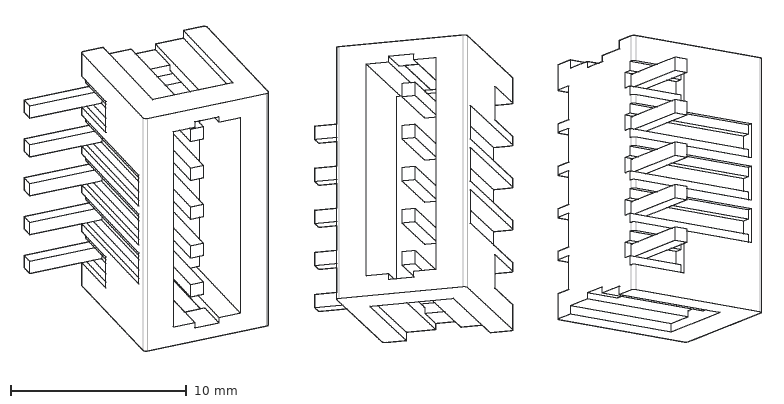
import cadquery as cq

body_x = 8.9
body_y = 7.8
body_z = 15.0
edge_radius = 0.2

contact_count = 5
contact_pitch = 2.5
pin_width = 0.8
pin_back = 0.4
tail_reach = 3.7
contact_tip_x = 7.5

cavity_y = 4.15
cavity_back = 2.05
cavity_end_wall = 1.2
pin_block_front = 3.2
pin_block_gap = 0.24

recess_x = 6.9
recess_y = 5.0
recess_depth = 0.5
key_y = 1.5
key_depth = 0.85

groove_z = 2.0
groove_depth = 0.3
channel_z = 0.9
channel_depth = 0.8
back_groove_depth = 1.2
long_groove = 8.1
short_groove = 3.5

half_y = body_y / 2
half_z = body_z / 2
contact_levels = [(i - (contact_count - 1) / 2) * contact_pitch for i in range(contact_count)]


def block(x_min, x_max, y_min, y_max, z_min, z_max):
    """Box between two opposite corners."""
    size = (x_max - x_min, y_max - y_min, z_max - z_min)
    return cq.Workplane("XY").box(*size, centered=False).translate((x_min, y_min, z_min))


def centered_block(x_min, x_max, width_y, height_z):
    """Box along X, centred on the X axis."""
    return block(x_min, x_max, -width_y / 2, width_y / 2, -height_z / 2, height_z / 2)


def housing_blank():
    """Solid block with its four vertical edges rounded."""
    return centered_block(0, body_x, body_y, body_z).edges("|Z").fillet(edge_radius)


def cut_mating_cavity(housing):
    """Open cavity with a keyway in both end walls and a pin block left standing at its back."""
    cavity_z = body_z - 2 * cavity_end_wall
    cavity = centered_block(cavity_back, body_x, cavity_y, cavity_z)
    keyway = centered_block(cavity_back, body_x, key_y, body_z - 2 * key_depth)
    pin_block = centered_block(cavity_back, pin_block_front, cavity_y, cavity_z - 2 * pin_block_gap)
    return housing.cut(cavity.union(keyway).cut(pin_block))


def cut_end_recesses(housing):
    """Stepped recess in each end face; its narrow step opens into the keyway."""
    half_recess = recess_y / 2
    half_key = key_y / 2
    recess = block(0, recess_x, -half_recess, half_recess, half_z - recess_depth, half_z)
    step = block(0, recess_x, -half_key, half_key, half_z - key_depth, half_z)
    upper = recess.union(step)
    return housing.cut(upper).cut(upper.mirror("XY"))


def cut_contact_grooves(housing):
    """Stepped grooves on the -Y face and plain grooves on the +Y face."""
    for z in contact_levels:
        is_end_contact = z in (contact_levels[0], contact_levels[-1])
        length = short_groove if is_end_contact else long_groove
        groove_bottom = z - groove_z / 2
        groove_top = z + groove_z / 2
        channel_bottom = z - channel_z / 2
        channel_top = z + channel_z / 2
        front = block(0, length, -half_y, -half_y + groove_depth, groove_bottom, groove_top)
        channel = block(0, length, -half_y, -half_y + channel_depth, channel_bottom, channel_top)
        back = block(0, length, half_y - back_groove_depth, half_y, groove_bottom, groove_top)
        housing = housing.cut(front).cut(channel).cut(back)
    return housing


def contact(z):
    """Right-angle square pin: a tail toward -Y and a contact blade toward +X."""
    half_pin = pin_width / 2
    tail = block(pin_back, pin_back + pin_width, -half_y - tail_reach, half_pin, z - half_pin, z + half_pin)
    blade = block(pin_back, contact_tip_x, -half_pin, half_pin, z - half_pin, z + half_pin)
    return tail.union(blade)


result = housing_blank()
result = cut_mating_cavity(result)
result = cut_end_recesses(result)
result = cut_contact_grooves(result)
for level in contact_levels:
    result = result.union(contact(level))